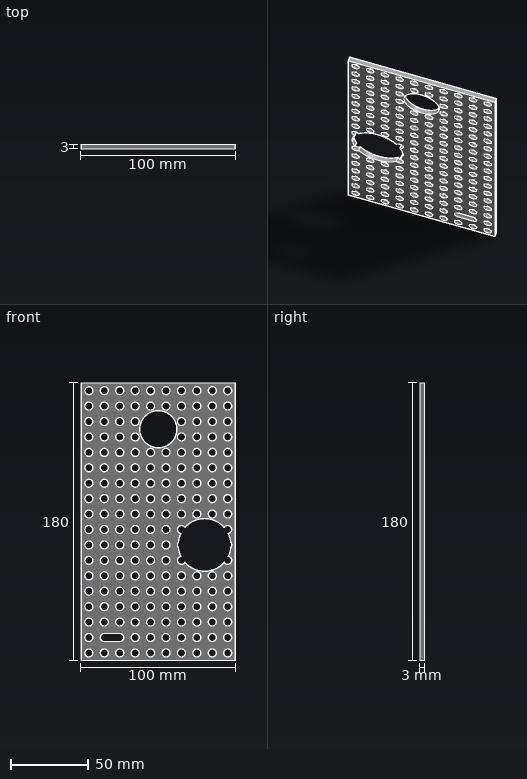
import cadquery as cq

height = 180.0
rows = 18
columns = 10
pitch = height / rows
width = columns * pitch
thickness = 3.0

hole_diameter = 5.0
upper_opening_diameter = 24.0
side_opening_diameter = 34.0

upper_opening_place = ((columns - 1) / 2, 14.5)
side_opening_place = (7.5, 7)
slot_start_place = (1, 1)
slot_span = 1


def grid_point(column, row):
    """X and Z of a grid place on the plate."""
    x = (column - (columns - 1) / 2) * pitch
    z = (row - (rows - 1) / 2) * pitch
    return (x, z)


def front_face():
    """Workplane on the -Y face of the plate, normal pointing outwards."""
    return cq.Workplane("XZ", origin=(0, -thickness / 2, 0))


def through_round(points, diameter):
    """Cylinders along Y, through the full plate thickness."""
    return (
        front_face()
        .pushPoints(points)
        .circle(diameter / 2)
        .extrude(-thickness)
    )


def through_slot(column, row, span):
    """Round-ended horizontal slot joining grid holes that are span columns apart."""
    return (
        front_face()
        .pushPoints([grid_point(column + span / 2, row)])
        .slot2D(span * pitch + hole_diameter, hole_diameter)
        .extrude(-thickness)
    )


plate = cq.Workplane("XY").box(width, thickness, height)

hole_centres = [grid_point(column, row) for column in range(columns) for row in range(rows)]
plate = plate.cut(through_round(hole_centres, hole_diameter))

plate = plate.cut(through_round([grid_point(*upper_opening_place)], upper_opening_diameter))
plate = plate.cut(through_round([grid_point(*side_opening_place)], side_opening_diameter))

plate = plate.cut(through_slot(*slot_start_place, slot_span))

result = plate